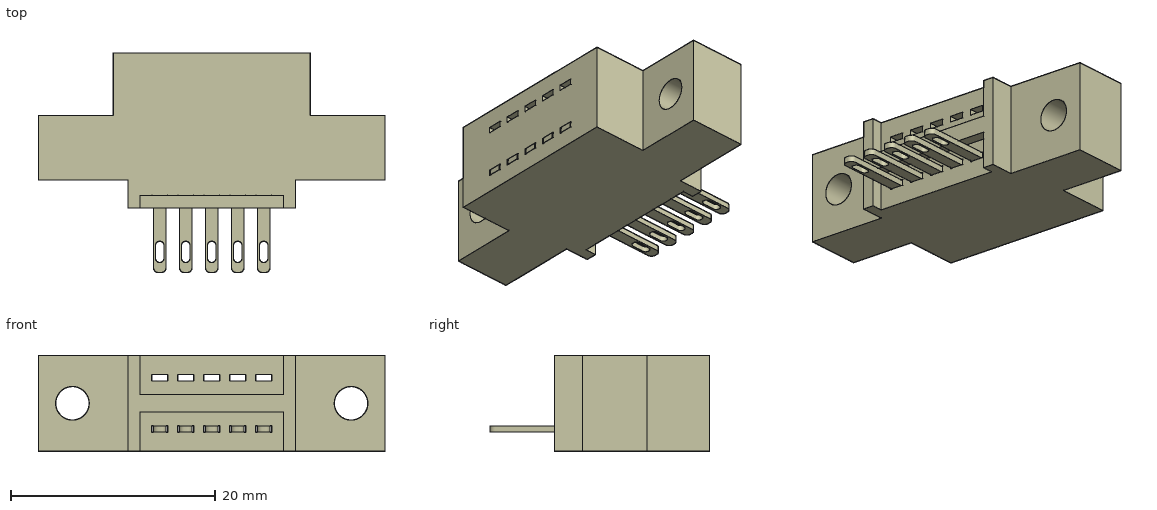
import cadquery as cq

OVERALL_WIDTH = 33.9
HEIGHT = 9.4
REAR_WIDTH = 19.3
REAR_DEPTH = 6.1
FLANGE_DEPTH = 6.35
FRONT_WIDTH = 16.4
FRONT_DEPTH = 2.75
HOUSING_DEPTH = REAR_DEPTH + FLANGE_DEPTH + FRONT_DEPTH

MOUNT_SPACING = 27.25
MOUNT_DIAMETER = 3.25

RECESS_WIDTH = 14.0
RECESS_DEPTH = 1.25
WEB_THICKNESS = 1.73
RECESS_HEIGHT = (HEIGHT - WEB_THICKNESS) / 2

CONTACT_COUNT = 5
CONTACT_PITCH = 2.55
ROW_OFFSET = 2.5
SLOT_WIDTH = 1.53

CONTACT_WIDTH = 1.25
CONTACT_THICKNESS = 0.6
TAIL_LENGTH = 6.3
TIP_RADIUS = 0.5
EYELET_WIDTH = 0.8
EYELET_LENGTH = 2.07
EYELET_TO_TIP = 2.05
CONTACT_LENGTH = HOUSING_DEPTH + TAIL_LENGTH

contact_positions = [(i - (CONTACT_COUNT - 1) / 2) * CONTACT_PITCH for i in range(CONTACT_COUNT)]


def block(width, depth, height, back_y):
    """Box centred on X and Z that runs from back_y toward -Y."""
    return cq.Workplane("XY").box(width, depth, height).translate((0, back_y - depth / 2, 0))


def make_housing():
    rear = block(REAR_WIDTH, REAR_DEPTH, HEIGHT, 0)
    flange = block(OVERALL_WIDTH, FLANGE_DEPTH, HEIGHT, -REAR_DEPTH)
    front = block(FRONT_WIDTH, FRONT_DEPTH, HEIGHT, -REAR_DEPTH - FLANGE_DEPTH)
    housing = rear.union(flange).union(front)

    mount_holes = (
        cq.Workplane("XZ")
        .pushPoints([(-MOUNT_SPACING / 2, 0), (MOUNT_SPACING / 2, 0)])
        .circle(MOUNT_DIAMETER / 2)
        .extrude(HOUSING_DEPTH)
    )
    housing = housing.cut(mount_holes)

    recess = block(RECESS_WIDTH, RECESS_DEPTH, RECESS_HEIGHT, RECESS_DEPTH - HOUSING_DEPTH)
    slot = block(SLOT_WIDTH, HOUSING_DEPTH, CONTACT_THICKNESS, 0)
    for side in (-1, 1):
        recess_z = side * (HEIGHT - RECESS_HEIGHT) / 2
        housing = housing.cut(recess.translate((0, 0, recess_z)))
        for x in contact_positions:
            housing = housing.cut(slot.translate((x, 0, side * ROW_OFFSET)))
    return housing


def make_contact(x):
    """One contact running the full length of its slot and out of the front of the housing."""
    contact = block(CONTACT_WIDTH, CONTACT_LENGTH, CONTACT_THICKNESS, 0)
    contact = contact.faces("<Y").edges("|Z").fillet(TIP_RADIUS)
    eyelet = (
        cq.Workplane("XY")
        .center(0, EYELET_TO_TIP - CONTACT_LENGTH)
        .slot2D(EYELET_LENGTH, EYELET_WIDTH, 90)
        .extrude(CONTACT_THICKNESS, both=True)
    )
    return contact.cut(eyelet).translate((x, 0, -ROW_OFFSET))


housing = make_housing()
contacts = [make_contact(x) for x in contact_positions]

result = cq.Compound.makeCompound([housing.val(), *[contact.val() for contact in contacts]])